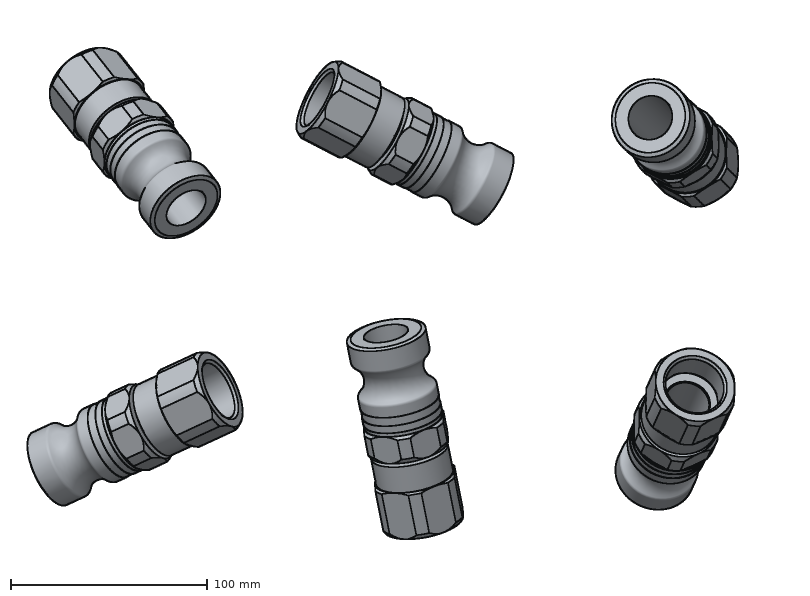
import cadquery as cq
import math

TOTAL_LENGTH = 105.6

ACROSS_FLATS = 41.0
ACROSS_CORNERS = 44.0
CORNER_CUT = (ACROSS_CORNERS - ACROSS_FLATS) / 2
LONG_BEVEL = CORNER_CUT / math.tan(math.radians(30))
SHORT_BEVEL = CORNER_CUT * math.tan(math.radians(30))

SOCKET_HEX_END = 25.7
COLLAR_END = 40.0
NECK_STEP_X = 40.9
NUT_START = 42.1
NUT_END = 57.0
SLEEVE_START = 59.0
BAND_START = 63.0
BAND_END = 67.7

COLLAR_DIA = 40.0
NECK_DIA = 30.0
NECK_STEP_DIA = 30.5
BAND_DIA = 40.5
SLEEVE_DIA = 41.0

WAIST_DIA = 31.2
WAIST_CENTRE = 83.6
WAIST_RADIUS = 11.0
WAIST_BLEND_RADIUS = 2.0

END_CHAMFER_LENGTH = 0.8
END_CHAMFER_DEPTH = END_CHAMFER_LENGTH / math.tan(math.radians(20))

SOCKET_MOUTH_DIA = 33.0
SOCKET_DIA = 30.29
SOCKET_DEPTH = 17.5
RELIEF_DIA = 33.5
RELIEF_END = 21.0
BORE_DIA = 23.0
BORE_MOUTH_DIA = 24.0


def cylinder(start, end, diameter):
    return cq.Workplane("YZ").workplane(offset=start).circle(diameter / 2).extrude(end - start)


def revolve_profile(profile):
    return profile.close().revolve(360, (0, 0, 0), (1, 0, 0))


def bevelled_hexagon(start, end, front_bevel, back_bevel):
    """Hexagonal prism whose corners are rounded and bevelled at both ends."""
    prism = (
        cq.Workplane("YZ")
        .workplane(offset=start)
        .polygon(6, ACROSS_FLATS, circumscribed=True)
        .extrude(end - start)
    )
    face_radius = ACROSS_FLATS / 2
    corner_radius = ACROSS_CORNERS / 2
    envelope = revolve_profile(
        cq.Workplane("XY")
        .moveTo(start, 0)
        .lineTo(start, face_radius)
        .lineTo(start + front_bevel, corner_radius)
        .lineTo(end - back_bevel, corner_radius)
        .lineTo(end, face_radius)
        .lineTo(end, 0)
    )
    return prism.intersect(envelope)


def plug():
    """Banded sleeve and waisted plug at the +X end."""
    sleeve_radius = SLEEVE_DIA / 2
    band_radius = BAND_DIA / 2
    waist_depth = sleeve_radius - WAIST_DIA / 2
    radius_sum = WAIST_RADIUS + WAIST_BLEND_RADIUS
    blend_angle = math.acos(1 - waist_depth / radius_sum)
    half_mouth = radius_sum * math.sin(blend_angle)
    half_groove = WAIST_RADIUS * math.sin(blend_angle)
    groove_edge = WAIST_DIA / 2 + WAIST_RADIUS * (1 - math.cos(blend_angle))
    blend_offset = half_mouth - WAIST_BLEND_RADIUS * math.sin(blend_angle / 2)
    blend_middle = sleeve_radius - WAIST_BLEND_RADIUS * (1 - math.cos(blend_angle / 2))
    return revolve_profile(
        cq.Workplane("XY")
        .moveTo(NUT_END, 0)
        .lineTo(NUT_END, band_radius)
        .lineTo(SLEEVE_START, band_radius)
        .lineTo(SLEEVE_START, sleeve_radius)
        .lineTo(BAND_START, sleeve_radius)
        .lineTo(BAND_START, band_radius)
        .lineTo(BAND_END, band_radius)
        .lineTo(BAND_END, sleeve_radius)
        .lineTo(WAIST_CENTRE - half_mouth, sleeve_radius)
        .threePointArc(
            (WAIST_CENTRE - blend_offset, blend_middle),
            (WAIST_CENTRE - half_groove, groove_edge),
        )
        .threePointArc((WAIST_CENTRE, WAIST_DIA / 2), (WAIST_CENTRE + half_groove, groove_edge))
        .threePointArc(
            (WAIST_CENTRE + blend_offset, blend_middle),
            (WAIST_CENTRE + half_mouth, sleeve_radius),
        )
        .lineTo(TOTAL_LENGTH - END_CHAMFER_LENGTH, sleeve_radius)
        .lineTo(TOTAL_LENGTH, sleeve_radius - END_CHAMFER_DEPTH)
        .lineTo(TOTAL_LENGTH, 0)
    )


def bore():
    """Socket with its relief groove, then the plain bore through the plug."""
    mouth_depth = (SOCKET_MOUTH_DIA - SOCKET_DIA) / 2
    bore_mouth_depth = (BORE_MOUTH_DIA - BORE_DIA) / 2
    return revolve_profile(
        cq.Workplane("XY")
        .moveTo(0, 0)
        .lineTo(0, SOCKET_MOUTH_DIA / 2)
        .lineTo(mouth_depth, SOCKET_DIA / 2)
        .lineTo(SOCKET_DEPTH, SOCKET_DIA / 2)
        .lineTo(SOCKET_DEPTH, RELIEF_DIA / 2)
        .lineTo(RELIEF_END, RELIEF_DIA / 2)
        .lineTo(RELIEF_END, BORE_MOUTH_DIA / 2)
        .lineTo(RELIEF_END + bore_mouth_depth, BORE_DIA / 2)
        .lineTo(TOTAL_LENGTH, BORE_DIA / 2)
        .lineTo(TOTAL_LENGTH, 0)
    )


body = bevelled_hexagon(0, SOCKET_HEX_END, LONG_BEVEL, SHORT_BEVEL)
body = body.union(cylinder(SOCKET_HEX_END, COLLAR_END, COLLAR_DIA))
body = body.union(cylinder(COLLAR_END, NECK_STEP_X, NECK_STEP_DIA))
body = body.union(cylinder(NECK_STEP_X, NUT_START, NECK_DIA))
body = body.union(bevelled_hexagon(NUT_START, NUT_END, LONG_BEVEL, CORNER_CUT))
body = body.union(plug())
result = body.cut(bore())